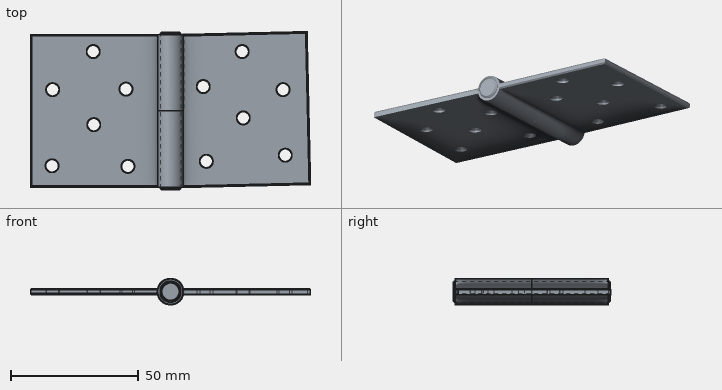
import cadquery as cq

KNUCKLE_DIAMETER = 10.2
KNUCKLE_HALF_LENGTH = 30.0
PIN_DIAMETER = 8.2
PIN_LENGTH = 61.7
PIN_CHAMFER = 0.7

LEAF_HALF_WIDTH = KNUCKLE_HALF_LENGTH
LEAF_THICKNESS = 2.4
LEAF_CHAMFER = 0.5
LEFT_LEAF_REACH = 54.9
RIGHT_LEAF_REACH = 54.3
RIGHT_LEAF_SKEW = 1.3
LEAF_ROOT = PIN_DIAMETER / 2

HOLE_DIAMETER = 5.0
LEFT_HOLES = [
    (-30.3, 23.3), (-46.2, 8.3), (-17.5, 8.6),
    (-30.1, -5.4), (-46.5, -21.5), (-16.7, -21.7),
]
RIGHT_HOLES = [
    (28.1, 23.3), (12.9, 9.6), (44.2, 8.3),
    (28.6, -2.7), (45.0, -17.4), (14.1, -19.8),
]


def cylinder_along_y(diameter, start, end):
    """Solid cylinder on the Y axis between two Y positions."""
    return (
        cq.Workplane("XZ", origin=(0, start, 0))
        .circle(diameter / 2)
        .extrude(start - end)
    )


def leaf_plate(reach, chamfered_faces):
    """Flat leaf on the +X side, chamfered along its three free sides on the chosen faces."""
    length = reach - LEAF_ROOT
    return (
        cq.Workplane("XY")
        .box(length, 2 * LEAF_HALF_WIDTH, LEAF_THICKNESS)
        .translate((LEAF_ROOT + length / 2, 0, 0))
        .faces(chamfered_faces)
        .edges(">X or >Y or <Y")
        .chamfer(LEAF_CHAMFER)
    )


def hinge_half(plate, own_knuckle, other_knuckle, holes):
    """Join a leaf to its knuckle, clear the other one, then bore for the pin and screws."""
    pin_bore = cylinder_along_y(PIN_DIAMETER, -PIN_LENGTH / 2, PIN_LENGTH / 2)
    screw_holes = (
        cq.Workplane("XY")
        .pushPoints(holes)
        .circle(HOLE_DIAMETER / 2)
        .extrude(LEAF_THICKNESS, both=True)
    )
    return plate.cut(other_knuckle).union(own_knuckle).cut(pin_bore).cut(screw_holes)


rear_knuckle = cylinder_along_y(KNUCKLE_DIAMETER, 0, KNUCKLE_HALF_LENGTH)
front_knuckle = cylinder_along_y(KNUCKLE_DIAMETER, -KNUCKLE_HALF_LENGTH, 0)

left_plate = leaf_plate(LEFT_LEAF_REACH, ">Z or <Z").mirror("YZ")
left_leaf = hinge_half(left_plate, rear_knuckle, front_knuckle, LEFT_HOLES)

barrel_side = KNUCKLE_DIAMETER / 2
right_plate = leaf_plate(RIGHT_LEAF_REACH, ">Z").rotate(
    (barrel_side, 0, 0), (barrel_side, 0, 1), RIGHT_LEAF_SKEW
)
right_leaf = hinge_half(right_plate, front_knuckle, rear_knuckle, RIGHT_HOLES)

pin = (
    cylinder_along_y(PIN_DIAMETER, -PIN_LENGTH / 2, PIN_LENGTH / 2)
    .faces("<Y or >Y")
    .chamfer(PIN_CHAMFER)
)

result = cq.Compound.makeCompound([left_leaf.solids().val(), right_leaf.solids().val(), pin.solids().val()])